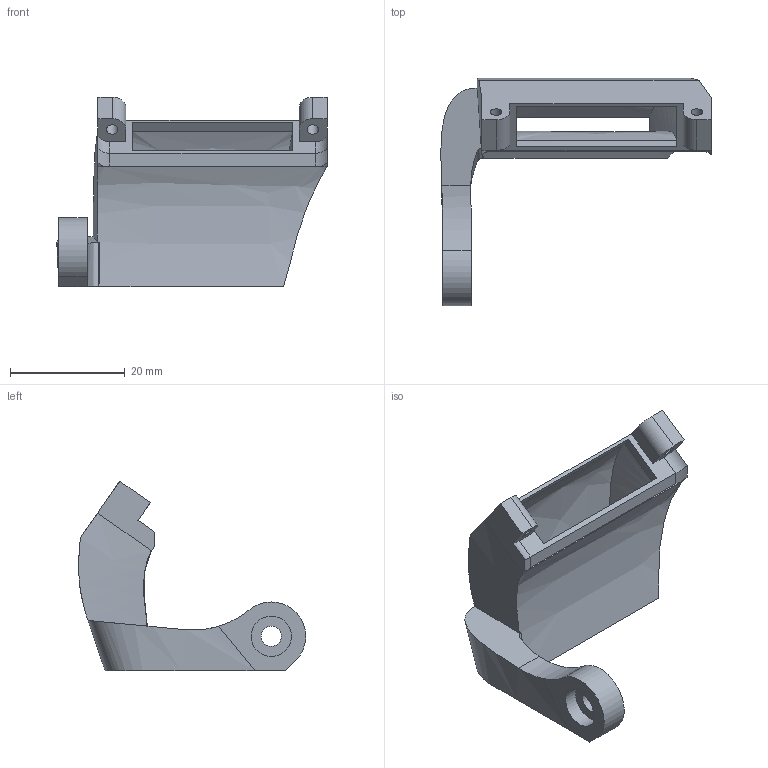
import cadquery as cq
import math


lug_radius = 6.0
lug_thickness = 4.95
bore_diameter = 3.5
counterbore_diameter = 7.0
counterbore_depth = 2.5
neck_foot_y = 2.83
neck_top = (9.2, 7.75)
neck_tangent_angle = 51.8
arm_crease = (14.9, 7.15)
arm_back = (31.96, 8.76)
arm_bulge = 0.4
arm_bulge_setback = 11.5
arm_corner_x = 1.5
arm_corner_setback = 2.2
arm_back_flat_x = 6.0
arm_overlap = 1.0
inner_fillet_x = 5.75
inner_fillet_setback = 1.2
inner_lean = 2.0
arm_spare_height = 0.5

body_left = 6.82
body_width = 40.0
body_right = body_left + body_width
tilt = 35.0
seat_back = (30.3, 27.5)
seat_depth = 11.45
slope_length = 5.25
back_crest = (33.66, 19.0)
back_foot = 29.0
front_curve = [(21.95, 18.1), (22.25, 14.0), (21.6, 7.5)]
front_foot = 19.74

opening_length = 28.0
opening_left = body_left + (body_width - opening_length) / 2
opening_right = opening_left + opening_length
opening_start = 0.6
opening_depth = 8.5
passage_back_middle = (31.6, 17.0)
passage_back_foot = 26.9
passage_front_middle = (24.35, 13.0)
passage_front_foot = 21.9

outer_right_wall = [(tilt, body_right), (29.7, 45.0), (24.2, 43.35), (16.3, 41.6), (0.0, 39.2)]
outer_left_back = [body_left, 6.25, 5.9, 5.55, 5.3]
outer_left_front = [body_left, 6.95, 7.0, 7.0, 7.0]
inner_right_wall = [(tilt, opening_right), (25.0, 39.4), (12.0, 37.7), (0.0, 36.1)]
fan_inner_radius = 27.0
fan_outer_radius = 52.0

flange_height = 1.85
flange_end_height = 3.0
flange_end_length = 2.1
flange_front_y = 21.05
flange_end_front_y = 20.35
ear_width = 4.9
ear_depth = 6.5
ear_height = 6.77
ear_fillet = 2.3
ear_hole_diameter = 2.0
ear_hole_inset = 2.5

cos_tilt = math.cos(math.radians(tilt))
sin_tilt = math.sin(math.radians(tilt))
fan_pivot_y = seat_back[0] - seat_back[1] / math.tan(math.radians(tilt))


def on_seat(depth, height):
    """(y, z) of a point given by its depth along the seat and height above it."""
    return (
        seat_back[0] - depth * cos_tilt - height * sin_tilt,
        seat_back[1] - depth * sin_tilt + height * cos_tilt,
    )


def seat_frame():
    """Workplane with local x along X, local y square to the seat, extruding along the seat depth."""
    return cq.Workplane(
        cq.Plane(origin=(0, *seat_back), xDir=(1, 0, 0), normal=(0, -cos_tilt, -sin_tilt))
    )


def fan_loft(sections):
    """Loft through (angle, left x near pivot, left x far from pivot, right x) sections."""
    wires = []
    for angle, left_near, left_far, right in sections:
        a = math.radians(angle)
        plane = cq.Plane(
            origin=(0, fan_pivot_y, 0),
            xDir=(1, 0, 0),
            normal=(0, -math.sin(a), math.cos(a)),
        )
        outline = [
            (left_near, fan_inner_radius),
            (right, fan_inner_radius),
            (right, fan_outer_radius),
            (left_far, fan_outer_radius),
        ]
        wires.append(cq.Workplane(plane).polyline(outline).close().val())
    return cq.Workplane(cq.Solid.makeLoft(wires))


def make_shell():
    profile = (
        cq.Workplane("YZ")
        .moveTo(*seat_back)
        .lineTo(*on_seat(0, -slope_length))
        .threePointArc(back_crest, arm_back)
        .lineTo(back_foot, 0)
        .lineTo(front_foot, 0)
        .spline(front_curve[::-1] + [on_seat(seat_depth, 0)], includeCurrent=True)
        .close()
        .extrude(body_right)
    )
    sections = [
        (angle, near, far, right)
        for (angle, right), near, far in zip(outer_right_wall, outer_left_front, outer_left_back)
    ]
    return profile.intersect(fan_loft(sections))


def make_passage():
    mouth_back = on_seat(opening_start, 0)
    into_duct = (sin_tilt, -cos_tilt)
    out_of_duct = (-sin_tilt, cos_tilt)
    mouth_front = on_seat(opening_start + opening_depth, 0)
    profile = (
        cq.Workplane("YZ")
        .moveTo(*mouth_back)
        .spline(
            [passage_back_middle, (passage_back_foot, 0)],
            includeCurrent=True,
            tangents=[into_duct, None, None],
        )
        .lineTo(passage_front_foot, 0)
        .spline(
            [passage_front_middle, mouth_front],
            includeCurrent=True,
            tangents=[None, None, out_of_duct],
        )
        .close()
        .extrude(body_right)
    )
    sections = [(angle, opening_left, opening_left, right) for angle, right in inner_right_wall]
    mouth = (
        seat_frame()
        .workplane(offset=opening_start)
        .moveTo(opening_left, 0)
        .rect(opening_length, flange_end_height, centered=False)
        .extrude(opening_depth)
    )
    return profile.intersect(fan_loft(sections)).union(mouth)


def coved_outline(plane, level, end_level, far_level):
    """Closed outline across the body whose level edge curves to end_level at both ends."""
    rise = end_level - level
    radius = (flange_end_length ** 2 + rise ** 2) / (2 * abs(rise))
    left_flat = body_left + flange_end_length
    right_flat = body_right - flange_end_length
    half_run = flange_end_length / 2
    sag = math.copysign(radius - math.sqrt(radius ** 2 - half_run ** 2), rise)
    return (
        plane.moveTo(body_left, far_level)
        .lineTo(body_left, end_level)
        .threePointArc((left_flat - half_run, level + sag), (left_flat, level))
        .lineTo(right_flat, level)
        .threePointArc((right_flat + half_run, level + sag), (body_right, end_level))
        .lineTo(body_right, far_level)
        .close()
    )


def make_flange():
    flange = coved_outline(seat_frame(), flange_height, flange_end_height, 0).extrude(seat_depth)
    back_strip = (
        seat_frame()
        .moveTo(body_left, flange_height)
        .rect(body_width, flange_end_height, centered=False)
        .extrude(ear_depth)
    )
    front_trim = coved_outline(
        cq.Workplane("XY"), flange_front_y, flange_end_front_y, 0
    ).extrude(seat_back[1])
    return flange.cut(back_strip).cut(front_trim)


def make_ear(outer_x, inward):
    """Ear standing on the seat; inward is +1 or -1, the X direction toward the other ear."""
    inner_x = outer_x + inward * ear_width
    corner_x = inner_x - inward * ear_fillet
    bend = ear_fillet * (1 - math.sqrt(0.5))
    ear = (
        seat_frame()
        .moveTo(outer_x, 0)
        .lineTo(outer_x, ear_height)
        .lineTo(corner_x, ear_height)
        .threePointArc((inner_x - inward * bend, ear_height - bend), (inner_x, ear_height - ear_fillet))
        .lineTo(inner_x, 0)
        .close()
        .extrude(ear_depth)
    )
    hole = (
        seat_frame()
        .center(outer_x + inward * ear_hole_inset, ear_height - ear_fillet)
        .circle(ear_hole_diameter / 2)
        .extrude(ear_depth)
    )
    return ear.cut(hole)


def neck_y_at(z):
    """Y of the line across the lug where the arm starts, at height z."""
    return neck_foot_y + z * (neck_top[0] - neck_foot_y) / neck_top[1]


def arm_plan(z):
    """Plan outline of the arm at height z; it leans back with the duct and swells with height."""
    rise = z / arm_back[1]
    back_y = back_foot + rise * (arm_back[0] - back_foot)
    root_x = body_left + arm_overlap
    inner_x = outer_left_front[-1]
    inner_y = front_foot + rise * inner_lean
    neck_y = neck_y_at(z)
    return (
        cq.Workplane("XY", origin=(0, 0, z))
        .moveTo(0, neck_y)
        .spline(
            [
                (-rise * arm_bulge, back_y - arm_bulge_setback),
                (arm_corner_x, back_y - arm_corner_setback),
                (arm_back_flat_x, back_y),
            ],
            includeCurrent=True,
            tangents=[(0, 1), (1, 0)],
        )
        .lineTo(root_x, back_y)
        .lineTo(root_x, inner_y + arm_overlap)
        .lineTo(inner_x, inner_y)
        .spline(
            [(inner_fillet_x, inner_y - inner_fillet_setback), (lug_thickness, neck_y)],
            includeCurrent=True,
            tangents=[(-1, 0), (0, -1)],
        )
        .close()
        .val()
    )


def make_side_profile():
    """Lug and arm outline seen along X, wide enough to trim both."""
    blend_angle = math.radians(neck_tangent_angle)
    blend_start = (lug_radius * math.cos(blend_angle), lug_radius * (1 + math.sin(blend_angle)))
    diagonal = lug_radius * math.sqrt(0.5)
    relief_foot = lug_radius * (1 - math.sqrt(2))
    return (
        cq.Workplane("YZ", origin=(-arm_overlap, 0, 0))
        .moveTo(relief_foot, 0)
        .lineTo(-diagonal, lug_radius - diagonal)
        .threePointArc((0, 2 * lug_radius), blend_start)
        .threePointArc(neck_top, arm_crease)
        .lineTo(*arm_back)
        .lineTo(back_foot, 0)
        .close()
        .extrude(body_left + 3 * arm_overlap)
    )


def lug_cylinder(diameter, depth):
    return cq.Workplane("YZ").center(0, lug_radius).circle(diameter / 2).extrude(depth)


def make_arm():
    side = make_side_profile()
    lug_top = 2 * lug_radius
    lug_zone = (
        cq.Workplane("YZ")
        .polyline([(-lug_top, 0), (neck_foot_y, 0), (neck_y_at(lug_top), lug_top), (-lug_top, lug_top)])
        .close()
        .extrude(lug_thickness)
    )
    arm_top = arm_back[1] + arm_spare_height
    arm_zone = cq.Workplane(cq.Solid.makeLoft([arm_plan(0), arm_plan(arm_top)]))
    arm = side.intersect(arm_zone).union(side.intersect(lug_zone))
    bore = lug_cylinder(bore_diameter, lug_thickness)
    counterbore = lug_cylinder(counterbore_diameter, counterbore_depth)
    return arm.cut(bore).cut(counterbore)


duct = make_shell().union(make_flange()).cut(make_passage())
ears = make_ear(body_left, 1).union(make_ear(body_right, -1))
result = duct.union(make_arm()).union(ears)